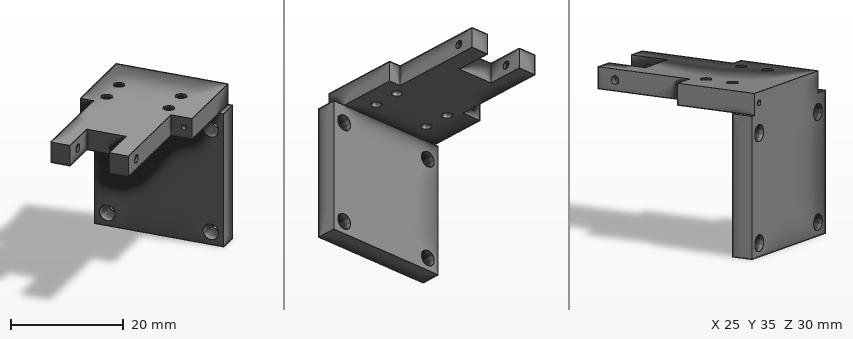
import cadquery as cq

total_width = 25.0
total_depth = 35.0
total_height = 30.0
thickness = 4.0

plate_height = total_height - thickness
plate_hole_diameter = 3.0
plate_hole_inset = 2.5

shelf_left = 2.5
shelf_right_inset = 0.9
shelf_right = total_width - shelf_right_inset
shelf_depth = 16.0
shelf_front = total_depth - shelf_depth
shelf_middle_z = total_height - thickness / 2
shelf_hole_diameter = 2.0
shelf_hole_spacing_x = 12.0
shelf_hole_spacing_y = 5.5
shelf_hole_back_inset = 8.0

arm_width = 15.0
arm_center_x = total_width / 2
slot_width = 7.6
slot_depth = 7.5
pin_hole_diameter = 1.5
pin_hole_inset = 3.5

shoulder_hole_diameter = 1.0
shoulder_hole_x = total_width - plate_hole_inset


def block(x_min, x_max, y_min, y_max, z_min, z_max):
    """Box between two opposite corners."""
    size = (x_max - x_min, y_max - y_min, z_max - z_min)
    return cq.Workplane("XY").box(*size, centered=False).translate((x_min, y_min, z_min))


def hole(diameter, length, start, direction):
    """Cylinder to be cut, running from start along direction."""
    return cq.Workplane(cq.Solid.makeCylinder(diameter / 2, length, cq.Vector(*start), cq.Vector(*direction)))


plate = block(0, total_width, total_depth - thickness, total_depth, 0, plate_height)
shelf = block(shelf_left, shelf_right, shelf_front, total_depth, plate_height, total_height)
arm = block(
    arm_center_x - arm_width / 2, arm_center_x + arm_width / 2,
    0, shelf_front, plate_height, total_height,
)
result = plate.union(shelf).union(arm)

result = result.cut(block(
    arm_center_x - slot_width / 2, arm_center_x + slot_width / 2,
    0, slot_depth, plate_height, total_height,
))

plate_hole_spacing = total_width - 2 * plate_hole_inset
for x in (plate_hole_inset, plate_hole_inset + plate_hole_spacing):
    for z in (plate_hole_inset, plate_hole_inset + plate_hole_spacing):
        result = result.cut(hole(plate_hole_diameter, total_depth, (x, 0, z), (0, 1, 0)))

shelf_hole_back_y = total_depth - shelf_hole_back_inset
for x in (arm_center_x - shelf_hole_spacing_x / 2, arm_center_x + shelf_hole_spacing_x / 2):
    for y in (shelf_hole_back_y - shelf_hole_spacing_y, shelf_hole_back_y):
        result = result.cut(hole(shelf_hole_diameter, total_height, (x, y, 0), (0, 0, 1)))

pin_start = (0, pin_hole_inset, shelf_middle_z)
result = result.cut(hole(pin_hole_diameter, total_width, pin_start, (1, 0, 0)))

shoulder_start = (shoulder_hole_x, 0, shelf_middle_z)
result = result.cut(hole(shoulder_hole_diameter, total_depth, shoulder_start, (0, 1, 0)))